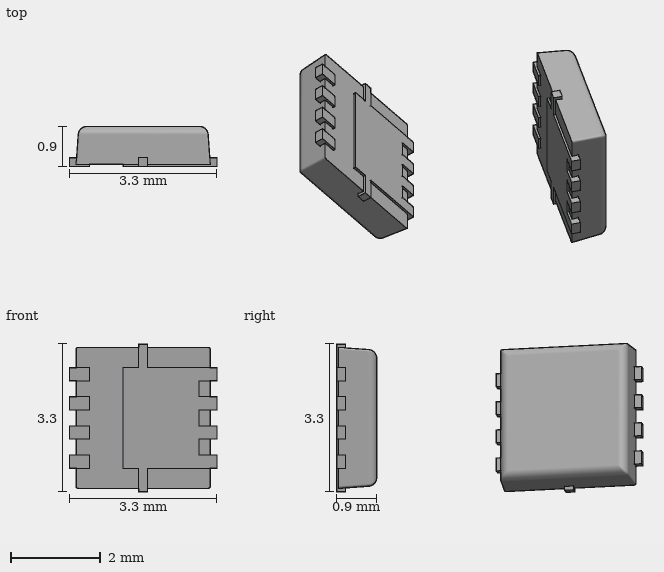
import cadquery as cq

SPAN = 3.3
HEIGHT = 0.9

HOUSING_WIDTH = 3.0
HOUSING_LENGTH = 3.15
STANDOFF = 0.05
DRAFT = 4.0
CORNER_RADIUS = 0.05
LID_RADIUS = 0.2

FRAME_THICKNESS = 0.2
LEAD_COUNT = 4
LEAD_PITCH = 0.65
LEAD_WIDTH = 0.3
LEAD_LENGTH = 0.455
PAD_LENGTH = 2.1
FINGER_LENGTH = 0.4
TIE_BAR_WIDTH = 0.2

LEAD_HEIGHTS = [(i - (LEAD_COUNT - 1) / 2) * LEAD_PITCH for i in range(LEAD_COUNT)]
PAD_WIDTH = (LEAD_COUNT - 1) * LEAD_PITCH + LEAD_WIDTH


def frame_plate(x_min, x_max, z_center, z_width):
    """Rectangular piece of the lead frame standing on the mounting face."""
    return (
        cq.Workplane("XY")
        .box(x_max - x_min, FRAME_THICKNESS, z_width, centered=(False, False, True))
        .translate((x_min, 0, z_center))
    )


def make_lead(z_center):
    """Single lead on the -X side."""
    return frame_plate(-SPAN / 2, -SPAN / 2 + LEAD_LENGTH, z_center, LEAD_WIDTH)


def make_pad():
    """Thermal pad with fingers toward +X and one tie bar along Z."""
    tip = SPAN / 2
    finger_root = tip - FINGER_LENGTH
    pad = frame_plate(tip - PAD_LENGTH, finger_root, 0, PAD_WIDTH)
    for z_center in LEAD_HEIGHTS:
        pad = pad.union(frame_plate(finger_root, tip, z_center, LEAD_WIDTH))
    tie_bar = frame_plate(-TIE_BAR_WIDTH / 2, TIE_BAR_WIDTH / 2, 0, SPAN)
    return pad.union(tie_bar)


def make_housing(frame_bodies):
    """Drafted, rounded block with recesses matching the lead frame bodies."""
    base_plane = cq.Plane(origin=(0, STANDOFF, 0), xDir=(1, 0, 0), normal=(0, 1, 0))
    block = (
        cq.Workplane(base_plane)
        .rect(HOUSING_WIDTH, HOUSING_LENGTH)
        .extrude(HEIGHT - STANDOFF, taper=DRAFT)
    )
    housing = block.faces(">Y").edges().fillet(LID_RADIUS)
    housing = housing.edges("not(|X or |Z)").fillet(CORNER_RADIUS)
    for body in frame_bodies:
        housing = housing.cut(body)
    return housing


leads = [make_lead(z_center) for z_center in LEAD_HEIGHTS]
pad = make_pad()
housing = make_housing([pad, *leads])

result = cq.Compound.makeCompound(
    [housing.solids().val(), pad.solids().val(), *[lead.val() for lead in leads]]
)